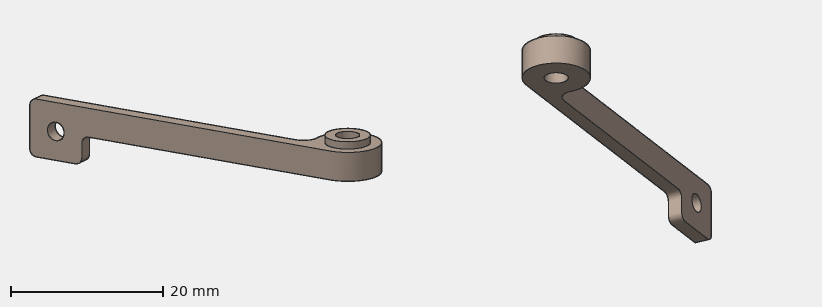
import cadquery as cq
import math

length = 50.5
eye_diameter = 9.0
arm_thickness = 2.0
arm_height = 4.0
tab_size = 8.0
corner_radius = 1.0
eye_fillet_radius = 2.0
collar_diameter = 6.0
collar_height = 1.0
eye_hole_diameter = 3.2
tab_hole_diameter = 2.5

eye_radius = eye_diameter / 2
eye_x = length - eye_radius
eye_left = length - eye_diameter
arm_bottom = tab_size - arm_height


def make_arm():
    """Flat L-shaped arm with a square tab hanging at its left end."""
    arm = (
        cq.Workplane("XZ")
        .polyline([
            (0, 0),
            (tab_size, 0),
            (tab_size, arm_bottom),
            (eye_x, arm_bottom),
            (eye_x, tab_size),
            (0, tab_size),
        ])
        .close()
        .extrude(-arm_thickness)
    )
    return arm.edges("|Y").edges(cq.selectors.BoxSelector(
        (-0.5, -0.5, -0.5), (eye_left, arm_thickness + 0.5, tab_size + 0.5)
    )).fillet(corner_radius)


def make_eye():
    """Round eye blended into the inner face of the arm by a concave fillet."""
    center_distance = eye_radius + eye_fillet_radius
    rise = arm_thickness + eye_fillet_radius - eye_radius
    run = math.sqrt(center_distance**2 - rise**2)
    blend_start_x = eye_x - run
    tangent_point = (
        eye_x - run * eye_radius / center_distance,
        eye_radius + rise * eye_radius / center_distance,
    )
    return (
        cq.Workplane("XY", origin=(0, 0, arm_bottom))
        .moveTo(blend_start_x, 0)
        .lineTo(eye_x, 0)
        .threePointArc((length, eye_radius), (eye_x, eye_diameter))
        .radiusArc(tangent_point, -eye_radius)
        .radiusArc((blend_start_x, arm_thickness), eye_fillet_radius)
        .close()
        .extrude(arm_height)
    )


def make_collar():
    """Raised ring seat on top of the eye."""
    return (
        cq.Workplane("XY", origin=(eye_x, eye_radius, tab_size))
        .circle(collar_diameter / 2)
        .extrude(collar_height)
    )


def make_eye_hole():
    """Vertical bore through the eye and collar."""
    return (
        cq.Workplane("XY", origin=(eye_x, eye_radius, arm_bottom))
        .circle(eye_hole_diameter / 2)
        .extrude(arm_height + collar_height)
    )


def make_tab_hole():
    """Cross hole through the middle of the tab."""
    return (
        cq.Workplane("XZ", origin=(tab_size / 2, 0, tab_size / 2))
        .circle(tab_hole_diameter / 2)
        .extrude(-arm_thickness)
    )


body = make_arm().union(make_eye()).union(make_collar())
result = body.cut(make_eye_hole()).cut(make_tab_hole()).clean()